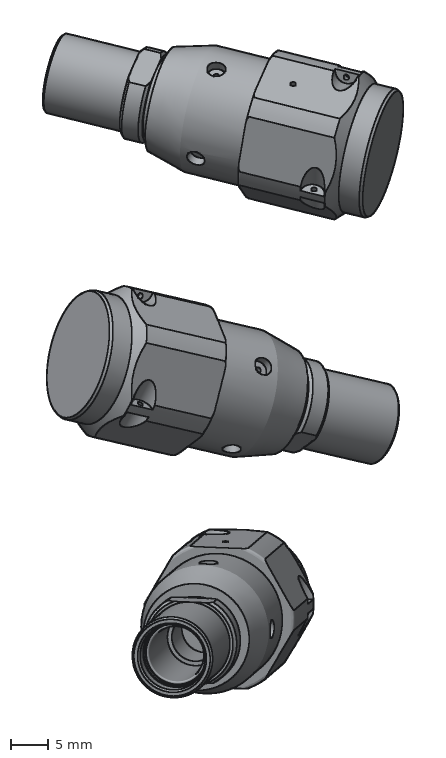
import cadquery as cq
import math

tube_end = 11.07
collar_end = 14.2
cone_start = 15.1
cone_end = 20.5
nut_start = 29.05
nut_hex_end = 41.4
total_length = 46.15

tube_radius = 5.5
tube_chamfer = 0.28
collar_radius = 6.3
collar_chamfer = 0.4
collar_flat_height = tube_radius
cone_small_radius = 7.25
barrel_radius = 8.7

mouth_radius = 4.45
mouth_chamfer = 0.28
mouth_depth = 2.2
groove_radius = 4.35
groove_bottom = 3.2
nose_outer_radius = 4.15
nose_x = 2.8
bore_radius = 3.75
bore_end = collar_end
inner_bore_radius = 3.15
inner_bore_end = cone_end

spanner_hole_count = 4
spanner_hole_x = 22.7
spanner_hole_radius = 1.25
spanner_hole_depth = 1.4
small_hole_radius = 0.35
pilot_depth = 1.15

hex_across_flats = 19.05
nut_across_corners = 20.62
nut_corner_radius = nut_across_corners / 2
nut_rear_round = 0.4
rim_radius = 8.85
rim_chamfer_length = 0.4
rim_chamfer_radial = 0.25

lockwire_angles = (60, 180, 300)
pocket_x = 39.6
pocket_radius = 1.65
web_thickness = 1.3
pocket_reach = 5.55
lockwire_hole_radius_position = 9.5

flat_hole_x = 33.5
flat_hole_depth = 1.4


def revolve_about_x(profile):
    """Turn a closed XY profile (x along the axis, y = radius) about the X axis."""
    return profile.close().revolve(360, (0, 0, 0), (1, 0, 0))


def turned(points):
    return revolve_about_x(cq.Workplane("XY").polyline(points))


def hole_down(x, top, depth, radius):
    """Vertical cylinder whose upper end is at height top."""
    return cq.Workplane("XY", origin=(x, 0, top - depth)).circle(radius).extrude(depth)


def make_tube_and_barrel():
    return turned([
        (0, 0),
        (0, tube_radius - tube_chamfer),
        (tube_chamfer, tube_radius),
        (cone_start, tube_radius),
        (cone_start, cone_small_radius),
        (cone_end, barrel_radius),
        (nut_start, barrel_radius),
        (nut_start, 0),
    ])


def make_collar():
    edge_radius = collar_radius - collar_chamfer
    disc = turned([
        (tube_end, 0),
        (tube_end, edge_radius),
        (tube_end + collar_chamfer, collar_radius),
        (collar_end - collar_chamfer, collar_radius),
        (collar_end, edge_radius),
        (collar_end, 0),
    ])
    flats = cq.Workplane("XY").box(2 * total_length, 2 * collar_radius, 2 * collar_flat_height)
    return disc.intersect(flats)


def make_bore():
    nose_mid_radius = (nose_outer_radius + bore_radius) / 2
    nose_tip_x = nose_x - (nose_outer_radius - bore_radius) / 2
    profile = (
        cq.Workplane("XY")
        .moveTo(0, 0)
        .lineTo(0, mouth_radius + mouth_chamfer)
        .lineTo(mouth_chamfer, mouth_radius)
        .lineTo(mouth_depth, mouth_radius)
        .lineTo(mouth_depth, groove_radius)
        .lineTo(groove_bottom, groove_radius)
        .lineTo(nose_x, nose_outer_radius)
        .threePointArc((nose_tip_x, nose_mid_radius), (nose_x, bore_radius))
        .lineTo(bore_end, bore_radius)
        .lineTo(bore_end, inner_bore_radius)
        .lineTo(inner_bore_end, inner_bore_radius)
        .lineTo(inner_bore_end, 0)
    )
    return revolve_about_x(profile)


def make_spanner_hole():
    dimple = hole_down(spanner_hole_x, barrel_radius, spanner_hole_depth, spanner_hole_radius)
    pilot = hole_down(spanner_hole_x, barrel_radius, spanner_hole_depth + pilot_depth, small_hole_radius)
    return dimple.union(pilot)


def make_rear_body():
    body = make_tube_and_barrel().union(make_collar()).cut(make_bore())
    for index in range(spanner_hole_count):
        angle = index * 360 / spanner_hole_count
        body = body.cut(make_spanner_hole().rotate((0, 0, 0), (1, 0, 0), angle))
    return body


def make_nut_blank():
    cone_length = nut_corner_radius - rim_radius
    round_centre_x = nut_start + nut_rear_round
    round_centre_radius = nut_corner_radius - nut_rear_round
    diagonal = nut_rear_round * math.sqrt(0.5)
    envelope = revolve_about_x(
        cq.Workplane("XY")
        .moveTo(nut_start, 0)
        .lineTo(nut_start, round_centre_radius)
        .threePointArc(
            (round_centre_x - diagonal, round_centre_radius + diagonal),
            (round_centre_x, nut_corner_radius),
        )
        .lineTo(nut_hex_end, nut_corner_radius)
        .lineTo(nut_hex_end + cone_length, rim_radius)
        .lineTo(total_length - rim_chamfer_length, rim_radius)
        .lineTo(total_length, rim_radius - rim_chamfer_radial)
        .lineTo(total_length, 0)
    )
    sharp_across_corners = hex_across_flats / math.cos(math.pi / 6)
    prism = (
        cq.Workplane("YZ", origin=(nut_start, 0, 0))
        .polygon(6, sharp_across_corners)
        .extrude(total_length - nut_start)
    )
    return envelope.intersect(prism)


def make_lockwire_cut():
    """Two round pockets either side of a web, and the wire hole through it, at the +Y corner."""
    pockets = (
        cq.Workplane("XY", origin=(pocket_x, nut_corner_radius, 0))
        .circle(pocket_radius)
        .extrude(pocket_reach, both=True)
    )
    web = cq.Workplane("XY").box(2 * total_length, 2 * total_length, web_thickness)
    wire_hole = (
        cq.Workplane("XY", origin=(pocket_x, lockwire_hole_radius_position, 0))
        .circle(small_hole_radius)
        .extrude(web_thickness, both=True)
    )
    return pockets.cut(web).union(wire_hole)


def make_coupling_nut():
    nut = make_nut_blank()
    for angle in lockwire_angles:
        nut = nut.cut(make_lockwire_cut().rotate((0, 0, 0), (1, 0, 0), angle))
    return nut.cut(hole_down(flat_hole_x, hex_across_flats / 2, flat_hole_depth, small_hole_radius))


rear_body = make_rear_body()
coupling_nut = make_coupling_nut()
result = cq.Compound.makeCompound([rear_body.solids().val(), coupling_nut.solids().val()])